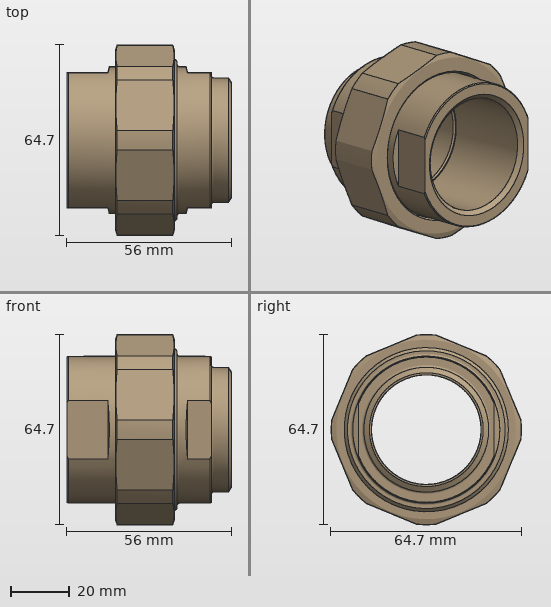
import cadquery as cq
import math


total_length = 56.0
nut_start = 16.5
nut_end = 36.55

tail_radius = 50.0 / 2
tail_edge_chamfer_length = 0.45
tail_edge_chamfer_depth = 0.3
flat_offset = 22.95
flat_end_slope = 0.8

inlet_bore_radius = 38.95 / 2
inlet_mouth_radius = 21.0
inlet_mouth_depth = 1.4
inlet_flat_length = 13.9
joint_x = 33.65

outlet_bore_radius = 37.2 / 2
outlet_lead_in_radius = 38.35 / 2
collar_radius = 55.8 / 2
collar_chamfer = 1.1
collar_end = 37.45
root_fillet = 0.8
outlet_shoulder_x = 49.1
outlet_flat_start = 41.0
spigot_radius = 42.4 / 2
spigot_chamfer_length = 1.1
spigot_chamfer_depth = 1.9

nut_sides = 8
nut_corner_radius = 32.35
nut_flat_offset = 31.0
nut_face_radius = 30.5
nut_chamfer_length = 0.6
nut_neck_radius = 50.5 / 2
nut_mouth_radius = 51.7 / 2
nut_mouth_depth = nut_mouth_radius - nut_neck_radius


def revolve_about_x(profile):
    """Revolve a closed XY profile (axial position, radius) about the X axis."""
    return profile.close().revolve(360, (0, 0, 0), (1, 0, 0))


def wrench_flat_cutter(side, open_end, inner_end, slope_direction):
    """Material outside one wrench flat; side is +1 or -1 along Y."""
    outer_offset = 2 * tail_radius - flat_offset
    slope_run = flat_end_slope * (outer_offset - flat_offset) / (tail_radius - flat_offset)
    return (
        cq.Workplane("XY")
        .moveTo(open_end, side * flat_offset)
        .lineTo(inner_end, side * flat_offset)
        .lineTo(inner_end + slope_direction * slope_run, side * outer_offset)
        .lineTo(open_end, side * outer_offset)
        .close()
        .extrude(tail_radius, both=True)
    )


def make_inlet_tail():
    body = revolve_about_x(
        cq.Workplane("XY")
        .moveTo(0, inlet_mouth_radius)
        .lineTo(0, tail_radius - tail_edge_chamfer_depth)
        .lineTo(tail_edge_chamfer_length, tail_radius)
        .lineTo(joint_x, tail_radius)
        .lineTo(joint_x, inlet_bore_radius)
        .lineTo(inlet_mouth_depth, inlet_bore_radius)
    )
    for side in (-1, 1):
        body = body.cut(wrench_flat_cutter(side, 0, inlet_flat_length, 0.65))
    return body


def make_outlet_tail():
    fillet_mid = root_fillet * (1 - math.sqrt(0.5))
    collar_root = collar_end + root_fillet
    spigot_root = outlet_shoulder_x + root_fillet
    body = revolve_about_x(
        cq.Workplane("XY")
        .moveTo(joint_x + outlet_lead_in_radius - outlet_bore_radius, outlet_bore_radius)
        .lineTo(joint_x, outlet_lead_in_radius)
        .lineTo(joint_x, collar_radius)
        .lineTo(collar_end - collar_chamfer, collar_radius)
        .lineTo(collar_end, collar_radius - collar_chamfer)
        .lineTo(collar_end, tail_radius + root_fillet)
        .threePointArc((collar_end + fillet_mid, tail_radius + fillet_mid), (collar_root, tail_radius))
        .lineTo(outlet_shoulder_x - tail_edge_chamfer_length, tail_radius)
        .lineTo(outlet_shoulder_x, tail_radius - tail_edge_chamfer_depth)
        .lineTo(outlet_shoulder_x, spigot_radius + root_fillet)
        .threePointArc(
            (outlet_shoulder_x + fillet_mid, spigot_radius + fillet_mid),
            (spigot_root, spigot_radius),
        )
        .lineTo(total_length - spigot_chamfer_length, spigot_radius)
        .lineTo(total_length, spigot_radius - spigot_chamfer_depth)
        .lineTo(total_length, outlet_bore_radius)
    )
    for side in (-1, 1):
        body = body.cut(wrench_flat_cutter(side, outlet_shoulder_x, outlet_flat_start, -0.65))
    return body


def make_nut():
    blank = revolve_about_x(
        cq.Workplane("XY")
        .moveTo(nut_start, nut_mouth_radius)
        .lineTo(nut_start, nut_face_radius)
        .lineTo(nut_start + nut_chamfer_length, nut_corner_radius)
        .lineTo(nut_end - nut_chamfer_length, nut_corner_radius)
        .lineTo(nut_end, nut_face_radius)
        .lineTo(nut_end, collar_radius)
        .lineTo(joint_x, collar_radius)
        .lineTo(joint_x, nut_neck_radius)
        .lineTo(nut_start + nut_mouth_depth, nut_neck_radius)
    )
    corner_diameter = 2 * nut_flat_offset / math.cos(math.pi / nut_sides)
    octagon = (
        cq.Workplane("YZ", origin=(nut_start, 0, 0))
        .polygon(nut_sides, corner_diameter)
        .extrude(nut_end - nut_start)
    )
    return blank.intersect(octagon)


inlet_tail = make_inlet_tail()
outlet_tail = make_outlet_tail()
nut = make_nut()

result = cq.Compound.makeCompound([inlet_tail.val(), outlet_tail.val(), nut.val()])